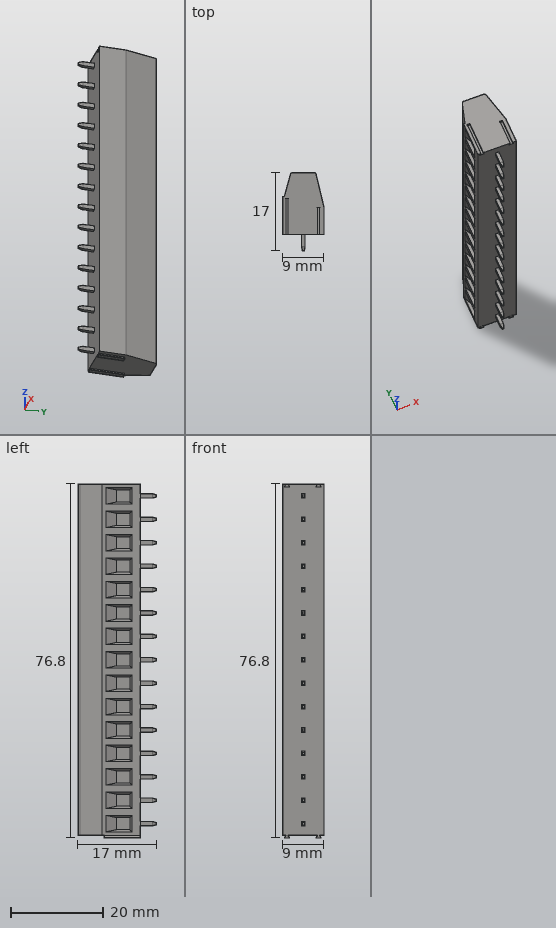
import cadquery as cq

WAYS = 15
PITCH = 5.08

BODY_WIDTH = 9.0
BODY_DEPTH = 13.5
BODY_LENGTH = WAYS * PITCH
HALF_WIDTH = BODY_WIDTH / 2
WIRE_SIDE_HEIGHT = 8.3
BACK_SIDE_HEIGHT = 6.0
WIRE_LEDGE = 0.35
TOP_INSET = 1.8
TOP_FILLET = 0.5

ENTRY_LOW = 1.85
ENTRY_HIGH = 7.5
ENTRY_HEIGHT = 3.6
FLOOR_LOW = 2.3
FLOOR_HIGH = 5.15
FLOOR_HEIGHT = 2.6
ENTRY_DEPTH = 0.9

PIN_WIDTH = 0.8
PIN_HEIGHT = 1.0
PIN_LENGTH = 3.5
PIN_TIP_LENGTH = 0.9
PIN_TIP_WIDTH = 0.45
PIN_TIP_HEIGHT = 0.5

DOVETAIL_DEPTH = 0.6
DOVETAIL_LIP = 0.15
DOVETAIL_NECK = 0.5
DOVETAIL_WIDE = 1.0
WIRE_DOVETAIL_X = -HALF_WIDTH + 0.95
WIRE_DOVETAIL_LENGTH = 7.85
BACK_DOVETAIL_X = HALF_WIDTH - 1.2
BACK_DOVETAIL_LENGTH = 5.9
DOVETAILS = (
    (WIRE_DOVETAIL_X, WIRE_DOVETAIL_LENGTH),
    (BACK_DOVETAIL_X, BACK_DOVETAIL_LENGTH),
)


def make_housing():
    """Extruded housing with a tapered, rounded top."""
    outline = [
        (-HALF_WIDTH, 0),
        (HALF_WIDTH, 0),
        (HALF_WIDTH, BACK_SIDE_HEIGHT),
        (HALF_WIDTH - TOP_INSET, BODY_DEPTH),
        (-HALF_WIDTH + TOP_INSET, BODY_DEPTH),
        (-HALF_WIDTH + WIRE_LEDGE, WIRE_SIDE_HEIGHT),
        (-HALF_WIDTH, WIRE_SIDE_HEIGHT),
    ]
    housing = cq.Workplane("XY").polyline(outline).close().extrude(BODY_LENGTH)
    return housing.faces(">Y").edges("|Z").fillet(TOP_FILLET)


def make_wire_entry(z):
    """Funnel-shaped cutter, wide at the -X face and narrow at its floor."""
    mouth_center = (ENTRY_LOW + ENTRY_HIGH) / 2
    floor_center = (FLOOR_LOW + FLOOR_HIGH) / 2
    return (
        cq.Workplane("YZ", origin=(-HALF_WIDTH, mouth_center, z))
        .rect(ENTRY_HIGH - ENTRY_LOW, ENTRY_HEIGHT)
        .workplane(offset=ENTRY_DEPTH)
        .center(floor_center - mouth_center, 0)
        .rect(FLOOR_HIGH - FLOOR_LOW, FLOOR_HEIGHT)
        .loft(ruled=True)
    )


def make_pin(z):
    """Rectangular pin pointing to -Y with a tapered tip."""
    shank_length = PIN_LENGTH - PIN_TIP_LENGTH
    shank = (
        cq.Workplane("XZ", origin=(0, 0, z))
        .rect(PIN_WIDTH, PIN_HEIGHT)
        .extrude(shank_length)
    )
    tip = (
        cq.Workplane("XZ", origin=(0, -shank_length, z))
        .rect(PIN_WIDTH, PIN_HEIGHT)
        .workplane(offset=PIN_TIP_LENGTH)
        .rect(PIN_TIP_WIDTH, PIN_TIP_HEIGHT)
        .loft(ruled=True)
    )
    return shank.union(tip)


def make_dovetail(x, length, neck_z):
    """Dovetail bar along Y, narrow at neck_z and widening toward -Z to a straight lip."""
    end_z = neck_z - DOVETAIL_DEPTH
    lip_z = end_z + DOVETAIL_LIP
    profile = [
        (x - DOVETAIL_NECK / 2, neck_z),
        (x + DOVETAIL_NECK / 2, neck_z),
        (x + DOVETAIL_WIDE / 2, lip_z),
        (x + DOVETAIL_WIDE / 2, end_z),
        (x - DOVETAIL_WIDE / 2, end_z),
        (x - DOVETAIL_WIDE / 2, lip_z),
    ]
    return cq.Workplane("XZ").polyline(profile).close().extrude(-length)


result = make_housing()

for way in range(WAYS):
    way_z = (way + 0.5) * PITCH
    result = result.cut(make_wire_entry(way_z)).union(make_pin(way_z))

for dovetail_x, dovetail_length in DOVETAILS:
    groove = make_dovetail(dovetail_x, dovetail_length, BODY_LENGTH)
    rib = make_dovetail(dovetail_x, dovetail_length, 0)
    result = result.cut(groove).union(rib)